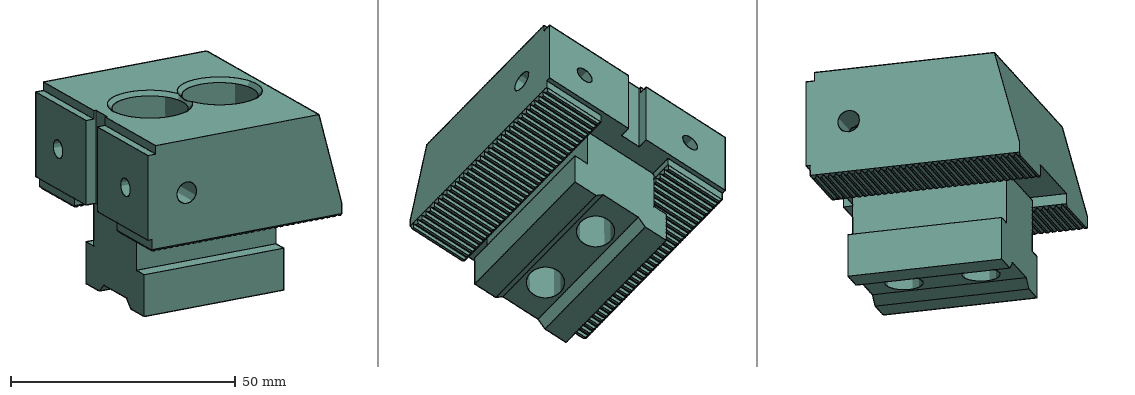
import cadquery as cq
import math

total_height = 44.7

jaw_width = 50.0
jaw_length = 50.0
jaw_height = 25.0
rear_slope_angle = 15.0
rear_slope_height = 22.0
front_pad_height = 20.0
upper_step_height = 2.0
upper_step_depth = 2.0
lower_step_depth = 1.0

jaw_bottom = total_height - jaw_height
front_y = -jaw_length / 2
rear_y = jaw_length / 2
pad_top = total_height - upper_step_height
pad_bottom = pad_top - front_pad_height
serrated_front_y = front_y + lower_step_depth

notch_width = 5.0
notch_depth = 2.5

serration_pitch = 1.5
serration_depth = 0.5
serration_count = 33
serration_angle = 90.0
rail_chamfer = 0.6

screw_spacing = 18.0
screw_center_setback = 24.0
screw_center_y = front_y + screw_center_setback
screw_positions = [(0, screw_center_y + side * screw_spacing / 2) for side in (-1, 1)]
head_diameter = 17.0
head_depth = 12.0
head_chamfer = 1.0
clearance_diameter = 11.0
clearance_chamfer = 0.8

front_hole_diameter = 4.2
side_hole_diameter = 5.0
drill_depth = 9.0
drill_tip_angle = 118.0
drill_offset = 10.0
drill_z = total_height - jaw_height / 2

nut_length = 36.0
nut_neck_width = 19.0
nut_foot_width = 26.0
nut_foot_height = 9.9
nut_height = 22.0
nut_hole_diameter = 8.5
nut_groove_depth = 2.0
nut_groove_bottom_width = 14.0
nut_groove_top_width = nut_groove_bottom_width - 2 * nut_groove_depth


def along_x(points, width):
    """Extrude a (Y, Z) outline symmetrically about the X = 0 plane."""
    return cq.Workplane("YZ").polyline(points).close().extrude(width / 2, both=True)


def along_y(points, y_start, y_end):
    """Extrude an (X, Z) outline from y_start to y_end."""
    plane = cq.Workplane("XZ", origin=(0, y_start, 0))
    return plane.polyline(points).close().extrude(y_start - y_end)


def drilled_hole(diameter, entry, direction):
    """Blind hole with a conical tip, entering at a point along a direction."""
    radius = diameter / 2
    tip_length = radius / math.tan(math.radians(drill_tip_angle / 2))
    shank = cq.Solid.makeCylinder(radius, drill_depth, entry, direction)
    tip = cq.Solid.makeCone(radius, 0, tip_length, entry + direction * drill_depth, direction)
    return shank.fuse(tip)


def countersink(top_diameter, bottom_diameter, top_z, x, y):
    """45 degree conical countersink narrowing downward from top_z."""
    depth = (top_diameter - bottom_diameter) / 2
    return cq.Solid.makeCone(
        top_diameter / 2, bottom_diameter / 2, depth, cq.Vector(x, y, top_z), cq.Vector(0, 0, -1)
    )


def jaw_block():
    """Side outline with the sloped rear and the stepped front."""
    slope_run = rear_slope_height * math.tan(math.radians(rear_slope_angle))
    outline = [
        (serrated_front_y, jaw_bottom),
        (rear_y, jaw_bottom),
        (rear_y, total_height - rear_slope_height),
        (rear_y - slope_run, total_height),
        (front_y + upper_step_depth, total_height),
        (front_y + upper_step_depth, pad_top),
        (front_y, pad_top),
        (front_y, pad_bottom),
        (serrated_front_y, pad_bottom),
    ]
    return along_x(outline, jaw_width)


def nut_slot():
    """Slot under the jaw that guides the neck of the nut."""
    half = nut_neck_width / 2
    outline = [(-half, jaw_bottom), (half, jaw_bottom), (half, pad_bottom), (-half, pad_bottom)]
    return along_y(outline, front_y, rear_y)


def rail_edge_chamfers():
    """Chamfers along both long edges of the two serrated rails."""
    chamfers = []
    slot_edge = nut_neck_width / 2
    outer_edge = jaw_width / 2
    for edge_x, inward in ((-outer_edge, 1), (-slot_edge, -1), (slot_edge, 1), (outer_edge, -1)):
        corner = [
            (edge_x, jaw_bottom),
            (edge_x + inward * rail_chamfer, jaw_bottom),
            (edge_x, jaw_bottom + rail_chamfer),
        ]
        chamfers.append(along_y(corner, front_y, rear_y))
    return chamfers


def serrations():
    """V grooves across the rails, the first one centred on their front edge."""
    half_width = serration_depth * math.tan(math.radians(serration_angle / 2))
    grooves = []
    for index in range(serration_count):
        y = serrated_front_y + index * serration_pitch
        vee = [
            (y - half_width, jaw_bottom),
            (y + half_width, jaw_bottom),
            (y, jaw_bottom + serration_depth),
        ]
        grooves.append(along_x(vee, jaw_width).val())
    return cq.Workplane(cq.Compound.makeCompound(grooves))


def front_notch():
    """Notch down the middle of the front face, open at the top and into the nut slot."""
    floor = cq.Workplane("XY", origin=(0, front_y, pad_bottom))
    return floor.rect(notch_width, 2 * notch_depth).extrude(total_height - pad_bottom)


def cut_screw_holes(jaw):
    """Counterbored clearance holes with countersunk edges."""
    head_floor = total_height - head_depth
    top_face = cq.Workplane("XY", origin=(0, 0, total_height)).pushPoints(screw_positions)
    jaw = jaw.cut(top_face.circle(clearance_diameter / 2).extrude(-jaw_height))
    jaw = jaw.cut(top_face.circle(head_diameter / 2).extrude(-head_depth))
    for x, y in screw_positions:
        head_rim = head_diameter + 2 * head_chamfer
        clearance_rim = clearance_diameter + 2 * clearance_chamfer
        jaw = jaw.cut(cq.Workplane(countersink(head_rim, head_diameter, total_height, x, y)))
        jaw = jaw.cut(cq.Workplane(countersink(clearance_rim, clearance_diameter, head_floor, x, y)))
    return jaw


def cut_drilled_holes(jaw):
    """One front hole and one side hole in each front corner."""
    for side in (-1, 1):
        side_x = side * jaw_width / 2
        front_entry = cq.Vector(side_x - side * drill_offset, front_y, drill_z)
        side_entry = cq.Vector(side_x, front_y + drill_offset, drill_z)
        jaw = jaw.cut(cq.Workplane(drilled_hole(front_hole_diameter, front_entry, cq.Vector(0, 1, 0))))
        jaw = jaw.cut(cq.Workplane(drilled_hole(side_hole_diameter, side_entry, cq.Vector(-side, 0, 0))))
    return jaw


def make_jaw():
    jaw = jaw_block().cut(nut_slot())
    for chamfer in rail_edge_chamfers():
        jaw = jaw.cut(chamfer)
    jaw = jaw.cut(serrations()).cut(front_notch())
    jaw = cut_screw_holes(jaw)
    return cut_drilled_holes(jaw)


def make_t_nut():
    """T-shaped nut with a trapezoidal groove under the foot and two through holes."""
    half_neck = nut_neck_width / 2
    half_foot = nut_foot_width / 2
    outline = [
        (-half_foot, 0),
        (-nut_groove_bottom_width / 2, 0),
        (-nut_groove_top_width / 2, nut_groove_depth),
        (nut_groove_top_width / 2, nut_groove_depth),
        (nut_groove_bottom_width / 2, 0),
        (half_foot, 0),
        (half_foot, nut_foot_height),
        (half_neck, nut_foot_height),
        (half_neck, nut_height),
        (-half_neck, nut_height),
        (-half_neck, nut_foot_height),
        (-half_foot, nut_foot_height),
    ]
    nut = along_y(outline, screw_center_y - nut_length / 2, screw_center_y + nut_length / 2)
    holes = cq.Workplane("XY").pushPoints(screw_positions).circle(nut_hole_diameter / 2)
    return nut.cut(holes.extrude(nut_height))


jaw = make_jaw()
t_nut = make_t_nut()
result = cq.Compound.makeCompound([jaw.solids().val(), t_nut.solids().val()])